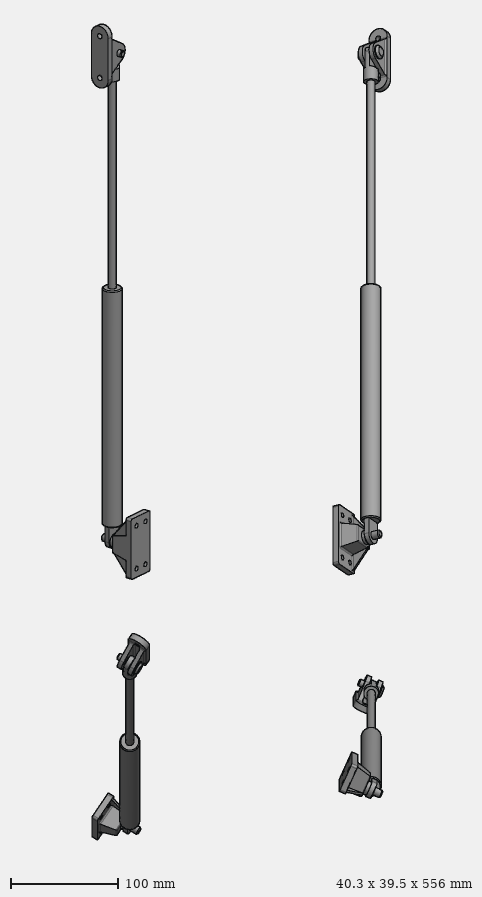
import cadquery as cq
import math

PIN_SPACING = 494.5

TUBE_DIAMETER = 19.0
TUBE_BOTTOM = 15.5
TUBE_TOP = 255.0
TUBE_CHAMFER = 1.0
ROD_DIAMETER = 8.0
ROD_DEPTH_IN_TUBE = 11.0
ROD_DEPTH_IN_EYE = 8.5
TAB_THICKNESS = 5.0
TAB_WIDTH = 15.5
EYE_DIAMETER = 14.0
EYE_THICKNESS = 5.0
EYE_BOTTOM = PIN_SPACING - 28.5
EYE_FLAT_RADIUS = 16.0

OVERALL_HEIGHT = 556
LOWER_PLATE_LENGTH = 61.0
UPPER_PLATE_LENGTH = 2 * (OVERALL_HEIGHT - PIN_SPACING) - LOWER_PLATE_LENGTH

UPPER_PLATE_WIDTH = 20.0
UPPER_PLATE_BACK = -19.0
UPPER_PLATE_FACE = -13.0
UPPER_HOLE_DIAMETER = 5.0
CHEEK_RADIUS = 9.5
CHEEK_HALF_BASE = 19.0
CHEEK_THICKNESS = 4.5
CHEEK_GAP = 7.0
CHEEK_BASE_FILLET = 1.5

UPPER_PIN_DIAMETER = 6.5
UPPER_PIN_END = 13.0
HEAD_DIAMETER = 13.5
HEAD_CHAMFER = 2.0
UPPER_PIN_CHAMFER = 0.85
HEAD_HEIGHT = 3.3

LOWER_PLATE_FACE = 23.0
LOWER_PLATE_BACK = 29.0
LOWER_PLATE_NEAR = -8.5
LOWER_PLATE_WIDTH = 29.0
LOWER_PLATE_CORNER = 2.0
LOWER_HOLE_DIAMETER = 4.5
LOWER_HOLE_SPACING_Y = 13.5
LOWER_HOLE_SPACING_Z = 43.5
BOSS_FACE = 6.0
BOSS_TIP_HALF_HEIGHT = 8.5
BOSS_TIP_FAR = 13.0
BOSS_BASE_HALF_HEIGHT = 12.0
BOSS_BASE_FAR = 17.0
BOSS_FACE_FILLET = 1.0
BOSS_BASE_FILLET = 1.5
GUSSET_NEAR = -6.5
GUSSET_THICKNESS = 2.0
GUSSET_HALF_BASE = 28.5
GUSSET_BASE_FILLET = 1.0

LOWER_PIN_DIAMETER = 8.0
LOWER_PIN_END = -10.5
LOWER_PIN_CHAMFER = 1.0
LOWER_PIN_DEPTH_IN_BOSS = 5.5
COLLAR_DIAMETER = 13.5

SELECTION_MARGIN = 0.3


def rod_along_x(diameter, x_start, x_end, z):
    """Cylinder on a line parallel to X that crosses the strut axis at height z."""
    plane = cq.Workplane("YZ", origin=(x_start, 0, z))
    return plane.circle(diameter / 2).extrude(x_end - x_start)


def rod_along_z(diameter, z_bottom, z_top):
    """Cylinder on the strut axis."""
    return cq.Workplane("XY", origin=(0, 0, z_bottom)).circle(diameter / 2).extrude(z_top - z_bottom)


def edges_in_box(low, high):
    """Selector for the edges whose centres lie in the box from low to high, borders included."""
    box_low = [value - SELECTION_MARGIN for value in low]
    box_high = [value + SELECTION_MARGIN for value in high]
    return cq.selectors.BoxSelector(box_low, box_high)


def link(width, thickness, z_pin, z_end):
    """Flat bar centred on the strut axis, rounded about the pin height and square at z_end."""
    half = width / 2
    outward = math.copysign(half, z_pin - z_end)
    return (
        cq.Workplane("YZ", origin=(-thickness / 2, 0, 0))
        .moveTo(-half, z_end)
        .lineTo(-half, z_pin)
        .threePointArc((0, z_pin + outward), (half, z_pin))
        .lineTo(half, z_end)
        .close()
        .extrude(thickness)
    )


def make_tube():
    rod_bore = rod_along_z(ROD_DIAMETER, TUBE_TOP - ROD_DEPTH_IN_TUBE, TUBE_TOP)
    pin_hole = rod_along_x(LOWER_PIN_DIAMETER, -TAB_THICKNESS, TAB_THICKNESS, 0)
    tube = rod_along_z(TUBE_DIAMETER, TUBE_BOTTOM, TUBE_TOP).faces("<Z or >Z").chamfer(TUBE_CHAMFER)
    tab = link(TAB_WIDTH, TAB_THICKNESS, 0, TUBE_BOTTOM)
    return tube.union(tab).cut(rod_bore).cut(pin_hole)


def make_rod():
    return rod_along_z(ROD_DIAMETER, TUBE_TOP - ROD_DEPTH_IN_TUBE, EYE_BOTTOM + ROD_DEPTH_IN_EYE)


def make_eye():
    """Round bar with a round top and two flats, each flat cut by a cutter centred on the pin."""
    bar = link(EYE_DIAMETER, EYE_DIAMETER, PIN_SPACING, EYE_BOTTOM)
    eye = bar.intersect(rod_along_z(EYE_DIAMETER, EYE_BOTTOM, PIN_SPACING + EYE_DIAMETER))
    for side in (-1, 1):
        inner = side * EYE_THICKNESS / 2
        outer = side * EYE_DIAMETER
        eye = eye.cut(rod_along_x(2 * EYE_FLAT_RADIUS, inner, outer, PIN_SPACING))
    rod_bore = rod_along_z(ROD_DIAMETER, EYE_BOTTOM, EYE_BOTTOM + ROD_DEPTH_IN_EYE)
    pin_hole = rod_along_x(UPPER_PIN_DIAMETER, -EYE_THICKNESS, EYE_THICKNESS, PIN_SPACING)
    return eye.cut(rod_bore).cut(pin_hole)


def make_cheek(x_start):
    """Plate whose straight sides run tangent to a round nose about the upper pin."""
    base_distance = math.hypot(UPPER_PLATE_FACE, CHEEK_HALF_BASE)
    base_angle = math.atan2(CHEEK_HALF_BASE, UPPER_PLATE_FACE)
    tangent_angle = base_angle - math.acos(CHEEK_RADIUS / base_distance)
    tangent_y = CHEEK_RADIUS * math.cos(tangent_angle)
    tangent_z = CHEEK_RADIUS * math.sin(tangent_angle)
    return (
        cq.Workplane("YZ", origin=(x_start, 0, PIN_SPACING))
        .moveTo(UPPER_PLATE_FACE, -CHEEK_HALF_BASE)
        .lineTo(tangent_y, -tangent_z)
        .threePointArc((CHEEK_RADIUS, 0), (tangent_y, tangent_z))
        .lineTo(UPPER_PLATE_FACE, CHEEK_HALF_BASE)
        .close()
        .extrude(CHEEK_THICKNESS)
    )


def make_upper_bracket():
    hole_spacing = UPPER_PLATE_LENGTH - UPPER_PLATE_WIDTH
    bracket = (
        cq.Workplane("XZ", origin=(0, UPPER_PLATE_BACK, PIN_SPACING))
        .slot2D(UPPER_PLATE_LENGTH, UPPER_PLATE_WIDTH, 90)
        .extrude(UPPER_PLATE_BACK - UPPER_PLATE_FACE)
    )
    outer_half = CHEEK_GAP / 2 + CHEEK_THICKNESS
    for x_start in (-outer_half, CHEEK_GAP / 2):
        bracket = bracket.union(make_cheek(x_start))
    cheek_bases = edges_in_box(
        (-outer_half, UPPER_PLATE_FACE, PIN_SPACING - CHEEK_HALF_BASE),
        (outer_half, UPPER_PLATE_FACE, PIN_SPACING + CHEEK_HALF_BASE),
    )
    bracket = bracket.edges(cheek_bases).fillet(CHEEK_BASE_FILLET)
    holes = (
        cq.Workplane("XZ", origin=(0, UPPER_PLATE_BACK, PIN_SPACING))
        .rarray(5.5, hole_spacing, 1, 2)
        .circle(UPPER_HOLE_DIAMETER / 2)
        .extrude(UPPER_PLATE_BACK - UPPER_PLATE_FACE)
    )
    pin_hole = rod_along_x(UPPER_PIN_DIAMETER, -UPPER_PLATE_WIDTH, UPPER_PLATE_WIDTH, PIN_SPACING)
    return bracket.cut(holes).cut(pin_hole)


def make_upper_pin():
    head_seat = -CHEEK_GAP / 2 - CHEEK_THICKNESS
    shank = rod_along_x(UPPER_PIN_DIAMETER, head_seat, UPPER_PIN_END, PIN_SPACING)
    shank = shank.faces(">X").chamfer(UPPER_PIN_CHAMFER)
    head = rod_along_x(HEAD_DIAMETER, head_seat - HEAD_HEIGHT, head_seat, PIN_SPACING)
    head = head.faces("<X").chamfer(HEAD_CHAMFER)
    return shank.union(head)


def make_boss():
    """Tapered block between the lower plate and the pin collar, flat on its -Y side."""
    height_tip = 2 * BOSS_TIP_HALF_HEIGHT
    height_base = 2 * BOSS_BASE_HALF_HEIGHT
    width_tip = BOSS_TIP_FAR - LOWER_PLATE_NEAR
    width_base = BOSS_BASE_FAR - LOWER_PLATE_NEAR
    return (
        cq.Workplane("YZ", origin=(BOSS_FACE, 0, 0))
        .center(LOWER_PLATE_NEAR + width_tip / 2, 0)
        .rect(width_tip, height_tip)
        .workplane(offset=LOWER_PLATE_FACE - BOSS_FACE)
        .center((width_base - width_tip) / 2, 0)
        .rect(width_base, height_base)
        .loft()
        .faces("<X")
        .edges()
        .fillet(BOSS_FACE_FILLET)
    )


def make_gusset():
    """Trapezoid web that stiffens the boss above and below."""
    return (
        cq.Workplane("XZ", origin=(0, GUSSET_NEAR, 0))
        .moveTo(LOWER_PLATE_FACE, -GUSSET_HALF_BASE)
        .lineTo(BOSS_FACE, -BOSS_TIP_HALF_HEIGHT)
        .lineTo(BOSS_FACE, BOSS_TIP_HALF_HEIGHT)
        .lineTo(LOWER_PLATE_FACE, GUSSET_HALF_BASE)
        .close()
        .extrude(-GUSSET_THICKNESS)
    )


def make_lower_bracket():
    thickness = LOWER_PLATE_BACK - LOWER_PLATE_FACE
    plate = (
        cq.Workplane("YZ", origin=(LOWER_PLATE_FACE, LOWER_PLATE_NEAR + LOWER_PLATE_WIDTH / 2, 0))
        .rect(LOWER_PLATE_WIDTH, LOWER_PLATE_LENGTH)
        .extrude(thickness)
        .edges("|X")
        .fillet(LOWER_PLATE_CORNER)
    )
    holes = (
        cq.Workplane("YZ", origin=(LOWER_PLATE_FACE, LOWER_HOLE_SPACING_Y / 2, 0))
        .rarray(LOWER_HOLE_SPACING_Y, LOWER_HOLE_SPACING_Z, 2, 2)
        .circle(LOWER_HOLE_DIAMETER / 2)
        .extrude(thickness)
    )
    pin_hole = rod_along_x(LOWER_PIN_DIAMETER, BOSS_FACE, BOSS_FACE + LOWER_PIN_DEPTH_IN_BOSS, 0)
    gusset_far = GUSSET_NEAR + GUSSET_THICKNESS
    gusset_base = edges_in_box(
        (LOWER_PLATE_FACE, GUSSET_NEAR, -GUSSET_HALF_BASE),
        (LOWER_PLATE_FACE, gusset_far, GUSSET_HALF_BASE),
    )
    boss_base = edges_in_box(
        (LOWER_PLATE_FACE, LOWER_PLATE_NEAR + BOSS_BASE_FILLET, -BOSS_BASE_HALF_HEIGHT),
        (LOWER_PLATE_FACE, BOSS_BASE_FAR, BOSS_BASE_HALF_HEIGHT),
    )
    with_gusset = plate.union(make_gusset()).edges(gusset_base).fillet(GUSSET_BASE_FILLET)
    with_boss = plate.union(make_boss()).edges(boss_base).fillet(BOSS_BASE_FILLET)
    bracket = with_gusset.union(with_boss)
    return bracket.cut(holes).cut(pin_hole)


def make_lower_pin():
    shank = rod_along_x(LOWER_PIN_DIAMETER, LOWER_PIN_END, BOSS_FACE + LOWER_PIN_DEPTH_IN_BOSS, 0)
    shank = shank.faces("<X").chamfer(LOWER_PIN_CHAMFER)
    collar = rod_along_x(COLLAR_DIAMETER, TAB_THICKNESS / 2, BOSS_FACE, 0)
    return shank.union(collar)


tube = make_tube()
rod = make_rod()
eye = make_eye()
upper_bracket = make_upper_bracket()
upper_pin = make_upper_pin()
lower_bracket = make_lower_bracket()
lower_pin = make_lower_pin()

result = cq.Compound.makeCompound(
    [
        tube.solids().val(),
        rod.solids().val(),
        eye.solids().val(),
        upper_bracket.solids().val(),
        upper_pin.solids().val(),
        lower_bracket.solids().val(),
        lower_pin.solids().val(),
    ]
)